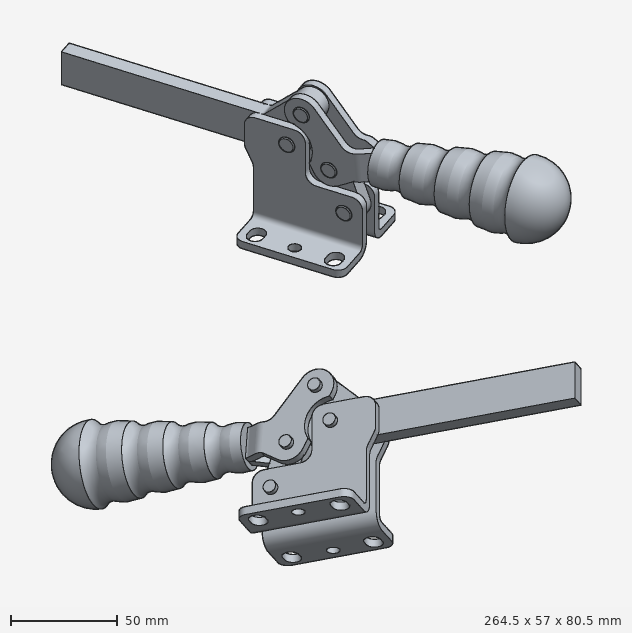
import cadquery as cq
import math


sheet = 4.2
gap = 8.0
plate_in = gap / 2
plate_out = plate_in + sheet

overall_length = 264.5

base_length = 57.7
base_width = 57.0
bend_inner = 3.0
bend_outer = bend_inner + sheet
flange_corner = 5.0
slot_x = 20.6
slot_y = 20.6
slot_length = 10.8
slot_width = 8.2
small_hole_y = 21.5
small_hole_diameter = 6.3

frame_top = 61.5
frame_front = -33.5
frame_notch_x = -1.3
frame_notch_z = 32.8
frame_step_high = 43.5
frame_step_low = 34.0
frame_corner_radius = 5.8

bar_bottom = 42.3
arm_start_x = -25.7
arm_blend = 2.6
arm_hub_radius = 8.2
arm_rear_x = -5.5

bar_pin = (-11.0, 51.5)
arm_pin = (-3.5, 71.5)
link_top_pin = (11.0, 44.5)
link_base_pin = (19.0, 22.2)
pin_radius = 3.2
pin_end_y = 10.8
head_radius = 4.2
head_height = 0.8
head_chamfer = 0.5

link_radius = 8.0
handle_hub_radius = 9.0
frame_clearance_radius = 13.5
neck_slope = 50.0
neck_blend = 6.0

axis_tilt = 4.2
grip_x = 33.3
grip_z = 50.8
tongue_height = 16.0
tongue_bend_angle = 30.0
tongue_bend_inner = 3.2
tongue_insert = 1.5

ridge_count = 4
ridge_pitch = 19.8
ridge_growth = 2.43
grip_start_radius = 11.5
crest_at = 5.3
crest_radius = 12.0
crest_end = 10.8
crest_drop = 1.0
arc_bulge = 0.3
groove_end = 17.7
groove_rise = 1.45
knob_radius = 21.2
knob_at = 77.8

knob_end_x = grip_x + knob_at * math.cos(math.radians(axis_tilt)) + knob_radius
bar_tip = knob_end_x - overall_length


def polar(center, radius, degrees):
    angle = math.radians(degrees)
    return (center[0] + radius * math.cos(angle), center[1] + radius * math.sin(angle))


def tangent_point(point, center, radius, side):
    """Where a tangent from point touches a circle; side is +1 or -1."""
    dx = point[0] - center[0]
    dz = point[1] - center[1]
    toward_point = math.degrees(math.atan2(dz, dx))
    spread = math.degrees(math.acos(radius / math.hypot(dx, dz)))
    return polar(center, radius, toward_point + side * spread)


def offset_ends(first, second, radius, side):
    """The line between two centres, moved sideways by radius (side +1 is left of travel)."""
    heading = math.degrees(math.atan2(second[1] - first[1], second[0] - first[0]))
    normal = heading + side * 90
    return polar(first, radius, normal), polar(second, radius, normal)


def xz_plane(y):
    return cq.Workplane("XZ", origin=(0, y, 0))


def disc(center, radius, y_start, y_end):
    return xz_plane(y_end).center(*center).circle(radius).extrude(y_end - y_start)


def plate(points, y_start, y_end):
    return xz_plane(y_end).polyline(points).close().extrude(y_end - y_start)


def round_edge(body, point, y, radius):
    """Round the edge parallel to Y that passes nearest to an XZ point."""
    nearest = cq.selectors.NearestToPointSelector((point[0], y, point[1]))
    return body.edges("|Y").edges(nearest).fillet(radius)


def mirrored(body):
    return body.union(body.mirror("XZ"))


def make_frame_half():
    half = base_length / 2
    plate_y = (plate_in + plate_out) / 2
    step_bottom = (-half, frame_step_low)
    step_top = (frame_front, frame_step_high)
    front_corner = (frame_front, frame_top)
    notch_top = (frame_notch_x, frame_top)
    notch_root = (frame_notch_x, frame_notch_z)
    rear_corner = (half, frame_notch_z)
    wall = plate(
        [
            (-half, bend_outer),
            step_bottom,
            step_top,
            front_corner,
            notch_top,
            notch_root,
            rear_corner,
            (half, bend_outer),
        ],
        plate_in,
        plate_out,
    )
    for corner in (step_bottom, step_top, front_corner, notch_top, notch_root, rear_corner):
        wall = round_edge(wall, corner, plate_y, frame_corner_radius)

    bend_y = plate_out + bend_inner
    foot = (
        cq.Workplane("YZ", origin=(-half, 0, 0))
        .moveTo(plate_in, bend_outer)
        .radiusArc((bend_y, 0), -bend_outer)
        .lineTo(base_width / 2, 0)
        .lineTo(base_width / 2, sheet)
        .lineTo(bend_y, sheet)
        .radiusArc((plate_out, bend_outer), bend_inner)
        .close()
        .extrude(base_length)
    )
    foot = foot.edges("|Z and >Y").fillet(flange_corner)
    slots = (
        cq.Workplane("XY")
        .pushPoints([(-slot_x, slot_y), (slot_x, slot_y)])
        .slot2D(slot_length, slot_width, 90)
        .extrude(sheet)
    )
    small_hole = (
        cq.Workplane("XY")
        .center(0, small_hole_y)
        .circle(small_hole_diameter / 2)
        .extrude(sheet)
    )
    return wall.union(foot.cut(slots).cut(small_hole))


def make_bar():
    slope_foot = (arm_start_x, frame_top)
    rear_foot = (arm_rear_x, bar_bottom)
    body = plate(
        [
            (bar_tip, bar_bottom),
            (bar_tip, frame_top),
            slope_foot,
            tangent_point(slope_foot, arm_pin, arm_hub_radius, -1),
            arm_pin,
            tangent_point(rear_foot, arm_pin, arm_hub_radius, 1),
            rear_foot,
        ],
        -plate_in,
        plate_in,
    )
    body = round_edge(body, slope_foot, 0, arm_blend)
    return body.union(disc(arm_pin, arm_hub_radius, -plate_in, plate_in))


def make_link():
    left_ends = offset_ends(link_top_pin, link_base_pin, link_radius, 1)
    right_ends = offset_ends(link_base_pin, link_top_pin, link_radius, 1)
    body = plate(left_ends + right_ends, -plate_in, plate_in)
    for center in (link_top_pin, link_base_pin):
        body = body.union(disc(center, link_radius, -plate_in, plate_in))
    return body


bend_sine = math.sin(math.radians(tongue_bend_angle))
bend_cosine = math.cos(math.radians(tongue_bend_angle))
bend_middle_radius = tongue_bend_inner + sheet / 2
bend_run = bend_middle_radius * bend_sine
bend_shift = bend_middle_radius * (1 - bend_cosine)
tongue_shift = plate_in
ramp_run = (tongue_shift - 2 * bend_shift) * bend_cosine / bend_sine
tongue_run = 2 * bend_run + ramp_run


def along_axis(distance, offset):
    """XZ point at a distance from the grip face along the tilted axis, offset upward."""
    on_axis = polar((grip_x, grip_z), distance, axis_tilt)
    return polar(on_axis, offset, axis_tilt + 90)


def make_handle_half():
    root_top = along_axis(-tongue_run, tongue_height / 2)
    root_bottom = along_axis(-tongue_run, -tongue_height / 2)
    slope_start = polar(arm_pin, handle_hub_radius, 90 - neck_slope)

    slope = -math.tan(math.radians(neck_slope))
    tilt = math.tan(math.radians(axis_tilt))
    rise = root_top[1] - slope_start[1] + tilt * (slope_start[0] - root_top[0])
    neck_dx = rise / (slope - tilt)
    neck = (slope_start[0] + neck_dx, slope_start[1] + slope * neck_dx)

    left_ends = offset_ends(link_top_pin, arm_pin, handle_hub_radius, 1)
    body = plate(
        [
            *left_ends,
            slope_start,
            neck,
            root_top,
            root_bottom,
            tangent_point(root_bottom, link_top_pin, handle_hub_radius, -1),
            link_top_pin,
        ],
        plate_in,
        plate_out,
    )
    body = round_edge(body, neck, (plate_in + plate_out) / 2, neck_blend)
    for center in (arm_pin, link_top_pin):
        body = body.union(disc(center, handle_hub_radius, plate_in, plate_out))
    body = body.cut(disc(bar_pin, frame_clearance_radius, plate_in, plate_out))
    return body.union(make_tongue())


def make_tongue():
    start_y = plate_in + sheet / 2
    end_y = start_y - tongue_shift
    path = (
        cq.Workplane("XY")
        .moveTo(-tongue_run, start_y)
        .radiusArc((bend_run - tongue_run, start_y - bend_shift), bend_middle_radius)
        .lineTo(-bend_run, end_y + bend_shift)
        .radiusArc((0, end_y), -bend_middle_radius)
        .lineTo(tongue_insert, end_y)
    )
    tongue = (
        cq.Workplane("YZ", origin=(-tongue_run, start_y, 0))
        .rect(sheet, tongue_height)
        .sweep(path)
    )
    return place_on_axis(tongue)


def place_on_axis(body):
    """Move a body built along +X from the origin onto the tilted grip axis."""
    return body.rotate((0, 0, 0), (0, 1, 0), -axis_tilt).translate((grip_x, 0, grip_z))


def make_grip():
    profile = cq.Workplane("XY").lineTo(0, grip_start_radius)
    for index in range(ridge_count):
        start = index * ridge_pitch
        crest = crest_radius + index * ridge_growth
        crest_low = crest - crest_drop
        profile = (
            profile.lineTo(start + crest_at, crest)
            .threePointArc(
                (start + (crest_at + crest_end) / 2, crest - arc_bulge),
                (start + crest_end, crest_low),
            )
            .threePointArc(
                (start + (crest_end + groove_end) / 2, crest_low + arc_bulge),
                (start + groove_end, crest + groove_rise),
            )
        )
    knob_side = polar((knob_at, 0), knob_radius, 45)
    profile = (
        profile.lineTo(knob_at, knob_radius)
        .threePointArc(knob_side, (knob_at + knob_radius, 0))
        .close()
    )
    return place_on_axis(profile.revolve(360, (0, 0, 0), (1, 0, 0)))


def make_pin(center):
    """Low chamfered head on the -Y side, plain shank end standing out on the +Y side."""
    shank = disc(center, pin_radius, -plate_out, pin_end_y)
    head = disc(center, head_radius, -plate_out - head_height, -plate_out)
    return shank.union(head.faces("<Y").chamfer(head_chamfer))


result = mirrored(make_frame_half())
result = result.union(make_bar()).union(make_link())
result = result.union(mirrored(make_handle_half())).union(make_grip())
for pin_center in (bar_pin, arm_pin, link_top_pin, link_base_pin):
    result = result.union(make_pin(pin_center))